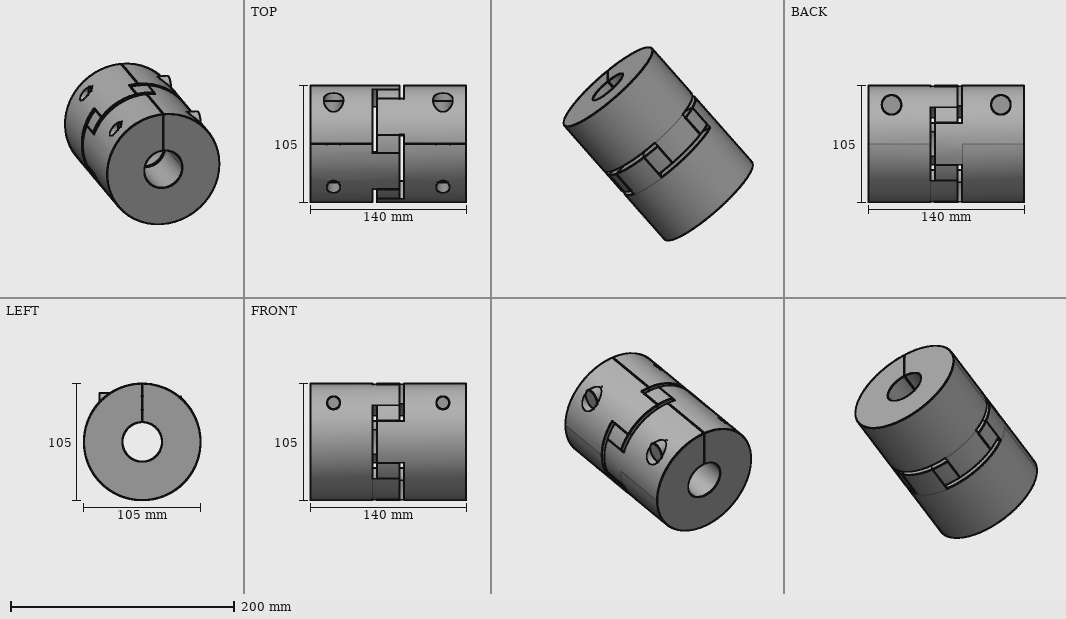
import cadquery as cq
import math


outer_radius = 105 / 2
total_length = 140
bore_radius = 35 / 2
edge_chamfer = 0.5

spider_width = 21
spider_gap = 3.5
hub_face_x = spider_width / 2 + spider_gap
hub_length = total_length / 2 - hub_face_x

jaw_count = 3
jaw_pitch = 360 / jaw_count
leg_pitch = jaw_pitch / 2
jaw_inner_radius = 35
leg_root_half_width = 7.1
leg_tip_half_width = 8.25
leg_flank_radius = 45

slit_width = 1
screw_x = 49
screw_z = 35
screw_diameter = 12
head_diameter = 18
head_length = 12
head_end_y = 38.5
screw_tip_y = -35
head_seat_y = head_end_y - head_length


def polar(radius, angle):
    """Point (Y, Z) at a radius and an angle in degrees about the X axis."""
    turn = math.radians(angle)
    return (radius * math.cos(turn), radius * math.sin(turn))


def leg_flank(leg_angle, side):
    """Root, crown and tip points of the arc on one flank (side +1 or -1) of a spider leg."""
    root_turn = math.degrees(math.asin(leg_root_half_width / jaw_inner_radius))
    tip_turn = math.degrees(math.asin(leg_tip_half_width / outer_radius))
    root = polar(jaw_inner_radius, leg_angle + side * root_turn)
    tip = polar(outer_radius, leg_angle + side * tip_turn)

    run_y = tip[0] - root[0]
    run_z = tip[1] - root[1]
    chord = math.hypot(run_y, run_z)
    bulge = leg_flank_radius - math.sqrt(leg_flank_radius**2 - (chord / 2) ** 2)
    crown = (
        (root[0] + tip[0]) / 2 - side * bulge * run_z / chord,
        (root[1] + tip[1]) / 2 + side * bulge * run_y / chord,
    )
    return root, crown, tip


def make_sector(start_flank, end_flank, middle_angle, start_x, length):
    """Prism along X between two flanks, closed by arcs at the jaw inner and outer radius."""
    start_root, start_crown, start_tip = start_flank
    end_root, end_crown, end_tip = end_flank
    return (
        cq.Workplane("YZ", origin=(start_x, 0, 0))
        .moveTo(*start_root)
        .threePointArc(start_crown, start_tip)
        .threePointArc(polar(outer_radius, middle_angle), end_tip)
        .threePointArc(end_crown, end_root)
        .threePointArc(polar(jaw_inner_radius, middle_angle), start_root)
        .close()
        .extrude(length)
    )


def make_jaw(angle):
    """Left hub jaw, filling the space between two neighbouring spider legs."""
    lower_flank = leg_flank(angle - leg_pitch / 2, 1)
    upper_flank = leg_flank(angle + leg_pitch / 2, -1)
    root_x = -hub_face_x - edge_chamfer
    return make_sector(lower_flank, upper_flank, angle, root_x, spider_width / 2 - root_x)


def make_leg(angle):
    """One crowned spider leg, chamfered all round its tip."""
    leg = make_sector(leg_flank(0, -1), leg_flank(0, 1), 0, -spider_width / 2, spider_width)
    return leg.faces(">Y").chamfer(edge_chamfer).rotate((0, 0, 0), (1, 0, 0), angle)


def make_turned_blank(end_x):
    """Cylinder from the outer end of the left hub to end_x, with both rims chamfered."""
    start_x = -total_length / 2
    return (
        cq.Workplane("YZ", origin=(start_x, 0, 0))
        .circle(outer_radius)
        .extrude(end_x - start_x)
        .faces("<X or >X")
        .chamfer(edge_chamfer)
    )


def make_rod(x, start_y, end_y, diameter):
    """Cylinder along Y on a screw axis."""
    return (
        cq.Workplane("XZ", origin=(x, end_y, screw_z))
        .circle(diameter / 2)
        .extrude(end_y - start_y)
    )


def make_left_hub(first_jaw_angle):
    """Clamp hub on the -X side with its jaws pointing to +X."""
    hub = make_turned_blank(-hub_face_x)
    for index in range(jaw_count):
        hub = hub.union(make_jaw(first_jaw_angle + index * jaw_pitch))
    hub = hub.intersect(make_turned_blank(spider_width / 2))

    bore = (
        cq.Workplane("YZ", origin=(-total_length / 2, 0, 0))
        .circle(bore_radius)
        .extrude(hub_length)
    )
    bore_rim = (
        cq.Workplane("YZ", origin=(-total_length / 2, 0, 0))
        .circle(bore_radius + edge_chamfer)
        .workplane(offset=edge_chamfer)
        .circle(bore_radius)
        .loft()
    )
    hub = hub.cut(bore).cut(bore_rim)

    slit = cq.Workplane("XY").box(hub_length, slit_width, outer_radius, centered=(False, True, False))
    screw_hole = make_rod(-screw_x, -outer_radius, head_seat_y, screw_diameter)
    counterbore = make_rod(-screw_x, head_seat_y, outer_radius, head_diameter)
    return hub.cut(slit.translate((-total_length / 2, 0, 0))).cut(screw_hole).cut(counterbore)


def make_spider():
    """Core ring inside the jaws with one leg between each pair of jaws."""
    spider = (
        cq.Workplane("YZ", origin=(-spider_width / 2, 0, 0))
        .circle(jaw_inner_radius)
        .circle(bore_radius)
        .extrude(spider_width)
    )
    for index in range(2 * jaw_count):
        spider = spider.union(make_leg((index + 0.5) * leg_pitch))
    return spider


def make_screw(x):
    """Clamp screw with its head on the +Y side."""
    shank = make_rod(x, screw_tip_y, head_seat_y, screw_diameter).faces("<Y").chamfer(edge_chamfer)
    head = make_rod(x, head_seat_y, head_end_y, head_diameter).faces(">Y").chamfer(edge_chamfer)
    return shank.union(head)


left_hub = make_left_hub(0)
right_hub = make_left_hub(leg_pitch).mirror("YZ")
spider = make_spider()
screws = [make_screw(x) for x in (-screw_x, screw_x)]

result = cq.Compound.makeCompound(
    [left_hub.val(), right_hub.val(), spider.val(), *[screw.val() for screw in screws]]
)